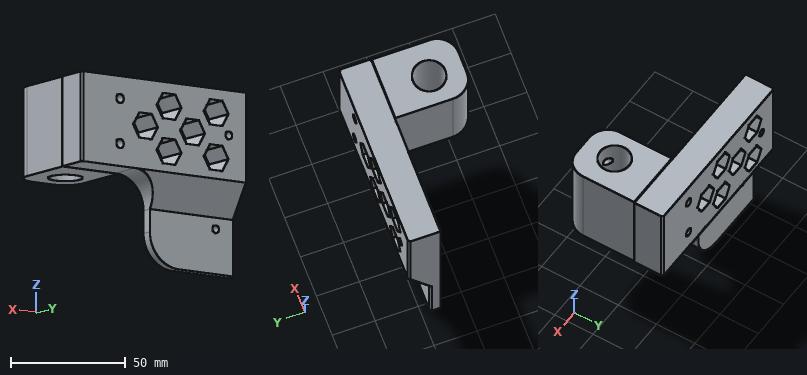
import cadquery as cq

plate_width = 88.2
plate_height = 80.2
plate_thickness = 15.0
thin_thickness = 5.0
arm_height = plate_height / 2
slope_height = 15.0
leg_width = 45.1
leg_radius = 15.0
edge_chamfer = 1.0

mount_diameter = 3.4
mount_x = 10.1
mount_depths = (20.0, 60.2)

hex_diameter = 13.0
hex_x = 16.8
hex_depth = 10.7
hex_pitch_x = 25.05
hex_pitch_z = 20.0
hex_columns = 2
hex_rows = 2

clearance = 0.3
block_width = 30.1
block_front = 37.1
block_height = arm_height
block_radius = 10.1
block_left = plate_width - clearance - block_width

bore_diameter = 15.0
bore_x = 71.8
bore_y = -21.1
screw_diameter = 4.0
screw_x = block_left + block_radius
screw_depths = (10.1, 30.1)


def through_y(points, diameter):
    """Round cutters along Y that pass through both bodies at the given (x, z) points."""
    reach = block_front + plate_thickness
    return (
        cq.Workplane("XZ")
        .pushPoints(points)
        .circle(diameter / 2)
        .extrude(reach, both=True)
    )


def screw_cutters():
    return through_y([(screw_x, -depth) for depth in screw_depths], screw_diameter)


def hex_centers():
    """Regular grid points plus the points half a pitch to the right and below the top row."""
    centers = []
    for column in range(hex_columns):
        x = hex_x + column * hex_pitch_x
        for row in range(hex_rows):
            centers.append((x, -hex_depth - row * hex_pitch_z))
        centers.append((x + hex_pitch_x / 2, -hex_depth - hex_pitch_z / 2))
    return centers


def plate_side_profile():
    """Side profile with the tapered back, extruded over the full width."""
    return (
        cq.Workplane("YZ")
        .moveTo(0, 0)
        .lineTo(plate_thickness, 0)
        .lineTo(plate_thickness, -arm_height)
        .lineTo(thin_thickness, -arm_height - slope_height)
        .lineTo(thin_thickness, -plate_height)
        .lineTo(0, -plate_height)
        .close()
        .extrude(plate_width)
    )


def plate_relief():
    """Material removed to the right of the leg and below the arm."""
    return (
        cq.Workplane("XZ")
        .moveTo(plate_width, -arm_height)
        .lineTo(leg_width + leg_radius, -arm_height)
        .radiusArc((leg_width, -arm_height - leg_radius), -leg_radius)
        .lineTo(leg_width, -plate_height + leg_radius)
        .radiusArc((leg_width - leg_radius, -plate_height), leg_radius)
        .lineTo(plate_width, -plate_height)
        .close()
        .extrude(-plate_thickness)
    )


def make_plate():
    plate = plate_side_profile()
    side_edges = plate.faces("<X or >X").edges("not(<Y or |Y)")
    plate = side_edges.chamfer(edge_chamfer)
    plate = plate.cut(plate_relief())
    windows = (
        cq.Workplane("XZ")
        .pushPoints(hex_centers())
        .polygon(6, hex_diameter)
        .extrude(-plate_thickness)
    )
    mounts = through_y([(mount_x, -depth) for depth in mount_depths], mount_diameter)
    return plate.cut(windows).cut(mounts).cut(screw_cutters())


def make_clamp_block():
    block_length = block_front - clearance
    block = (
        cq.Workplane("XY")
        .box(block_width, block_length, block_height, centered=False)
        .translate((block_left, -block_front, -block_height))
        .edges("|Z and <Y")
        .fillet(block_radius)
    )
    bore = (
        cq.Workplane("XY")
        .center(bore_x, bore_y)
        .circle(bore_diameter / 2)
        .extrude(-block_height)
    )
    return block.cut(bore).cut(screw_cutters())


plate = make_plate()
clamp_block = make_clamp_block()
result = cq.Compound.makeCompound([plate.solids().val(), clamp_block.solids().val()])